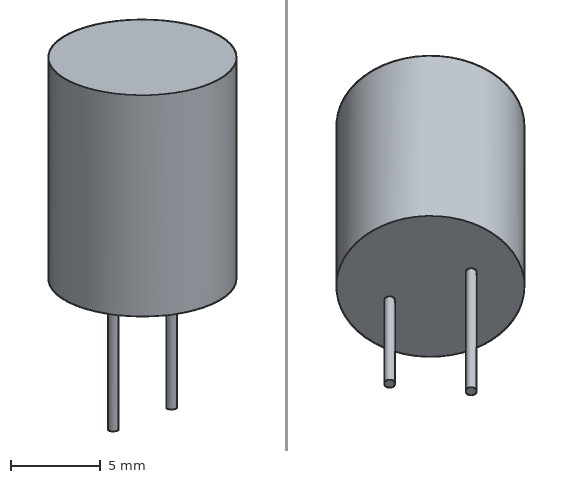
import cadquery as cq

total_height = 23.5
can_diameter = 10.5
long_lead_length = 10.0
short_lead_length = 7.0
lead_diameter = 0.6
lead_spacing = 5.0

can_height = total_height - long_lead_length


def make_can():
    """Plain cylindrical can standing on the XY plane."""
    return cq.Workplane("XY").circle(can_diameter / 2).extrude(can_height)


def make_lead(x, length):
    """Round lead hanging from the underside of the can at the given X."""
    return cq.Workplane("XY").center(x, 0).circle(lead_diameter / 2).extrude(-length)


can = make_can()

lead_layout = [
    (-lead_spacing / 2, long_lead_length),
    (lead_spacing / 2, short_lead_length),
]
leads = [make_lead(x, length) for x, length in lead_layout]

result = cq.Compound.makeCompound([can.val(), *[lead.val() for lead in leads]])